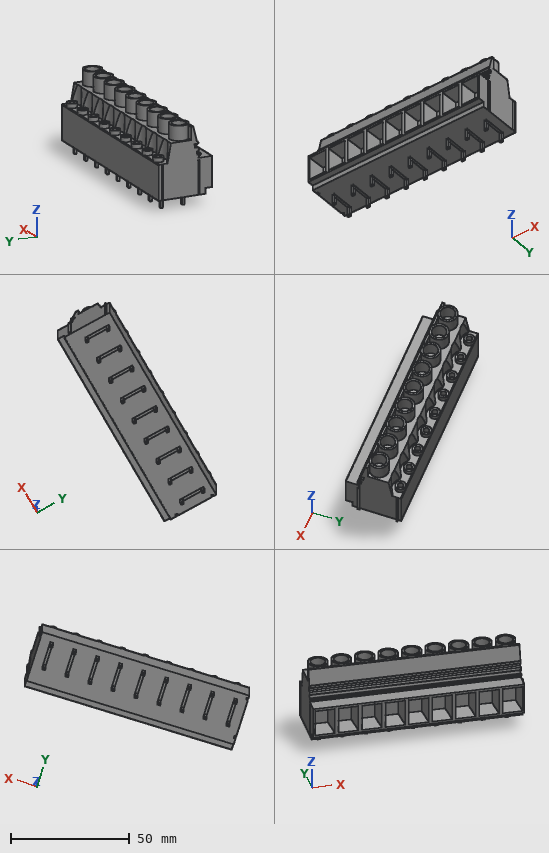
import cadquery as cq
POLES = 9
PITCH = 10.16
LENGTH = POLES * PITCH
DEPTH = 25.1
POLE_CENTRES = [(pole + 0.5) * PITCH for pole in range(POLES)]

STEP_DEPTH = 3.05
STEP_HEIGHT = 2.55
LEDGE_TOP = 16.4
LEDGE_BACK = 6.3
BACK_SHELF = 16.1
BACK_EDGE_CHAMFER = 0.35
SLOPE_FOOT_Y = 20.95
SLOPE_HEAD_Y = 19.35
SCREW_DECK = 24.8
WALL_TOP = 30.6
WALL_BACK_Y = 9.9
WALL_CREST_Y = 8.8

TUBE_TOP = 31.5
TUBE_Y = 13.2
TUBE_RADIUS = 4.2
TUBE_BORE_RADIUS = 3.2

SOCKET_TOP = 18.1
SOCKET_RADIUS = 2.25
SOCKET_Y = DEPTH - SOCKET_RADIUS
SOCKET_BORE_RADIUS = 1.25
SOCKET_BORE_DEPTH = 3.0
SCALLOP_RADIUS = 6.0

FUNNEL_WIDTH = 8.6
FUNNEL_HEIGHT = 11.7
FUNNEL_CENTRE_Z = 9.42
FUNNEL_INSET = 1.3
FUNNEL_DEPTH = 7.5

RIDGE_HEIGHT = 0.8
RIDGE_TOP = 15.3
DOVETAIL_Y = 6.2
DOVETAIL_ROOT_WIDTH = 0.55
DOVETAIL_TIP_WIDTH = 1.1
BACK_RIDGE_FRONT_Y = 22.9
BACK_RIDGE_BACK_Y = 23.7
BACK_RIDGE_SLANT = 0.3

PIN_SIZE = 1.2
PIN_LENGTH = 5.0
PIN_FRONT_Y = 11.3
PIN_BACK_Y = PIN_FRONT_Y + PITCH
PIN_TIP_HEIGHT = 0.5
PIN_TIP_INSET = 0.3
BAR_THICKNESS = 1.2


def extrude_along_x(points):
    """Extrude a (Y, Z) outline over the full length of the row."""
    return cq.Workplane("YZ").polyline(points).close().extrude(LENGTH)


def housing_profile():
    base_and_back = [
        (STEP_DEPTH, 0),
        (DEPTH, 0),
        (DEPTH, BACK_SHELF - BACK_EDGE_CHAMFER),
        (DEPTH - BACK_EDGE_CHAMFER, BACK_SHELF),
        (SLOPE_FOOT_Y, BACK_SHELF),
        (SLOPE_HEAD_Y, SCREW_DECK),
        (WALL_BACK_Y, SCREW_DECK),
        (WALL_BACK_Y, WALL_TOP),
        (WALL_CREST_Y, WALL_TOP),
    ]
    upper_lip = [
        (7.1, 23.85),
        (6.75, 23.85),
        (6.4, 23.1),
        (7.1, 22.5),
        (7.7, 22.8),
        (8.25, 22.5),
    ]
    middle_rib = [
        (7.9, 21.1),
        (6.3, 21.1),
        (6.05, 20.05),
        (6.3, 19.7),
        (7.15, 19.2),
    ]
    lower_hook = [
        (6.9, 18.2),
        (6.9, 17.8),
        (6.35, 17.8),
        (5.95, 18.3),
        (5.6, 18.4),
        (5.3, 18.35),
        (5.2, 18.05),
        (5.3, 17.8),
        (6.0, 17.2),
        (6.2, 16.8),
        (LEDGE_BACK, LEDGE_TOP),
    ]
    wire_block = [
        (0, LEDGE_TOP),
        (0, STEP_HEIGHT),
        (STEP_DEPTH, STEP_HEIGHT),
    ]
    return base_and_back + upper_lip + middle_rib + lower_hook + wire_block


def upright_cylinders(x_positions, y, radius, bottom, top):
    """Vertical cylinders in a row along X."""
    return (
        cq.Workplane("XY", origin=(0, 0, bottom))
        .pushPoints([(x, y) for x in x_positions])
        .circle(radius)
        .extrude(top - bottom)
    )


def wire_funnel(x):
    """Rectangular wire entry that narrows from the front face to its floor."""
    return (
        cq.Workplane("XZ", origin=(x, 0, FUNNEL_CENTRE_Z))
        .rect(FUNNEL_WIDTH, FUNNEL_HEIGHT)
        .workplane(offset=-FUNNEL_DEPTH)
        .rect(FUNNEL_WIDTH - 2 * FUNNEL_INSET, FUNNEL_HEIGHT - 2 * FUNNEL_INSET)
        .loft(ruled=True)
    )


def side_ridges(x):
    """Dovetail and slanted ridge rising in +X from the plane at x."""
    dovetail = [
        (x, DOVETAIL_Y - DOVETAIL_ROOT_WIDTH / 2),
        (x + RIDGE_HEIGHT, DOVETAIL_Y - DOVETAIL_TIP_WIDTH / 2),
        (x + RIDGE_HEIGHT, DOVETAIL_Y + DOVETAIL_TIP_WIDTH / 2),
        (x, DOVETAIL_Y + DOVETAIL_ROOT_WIDTH / 2),
    ]
    back_ridge = [
        (x, BACK_RIDGE_FRONT_Y),
        (x + RIDGE_HEIGHT, BACK_RIDGE_FRONT_Y + BACK_RIDGE_SLANT),
        (x + RIDGE_HEIGHT, BACK_RIDGE_BACK_Y),
        (x, BACK_RIDGE_BACK_Y),
    ]
    ridges = cq.Workplane("XY").polyline(dovetail).close().extrude(RIDGE_TOP)
    return ridges.union(cq.Workplane("XY").polyline(back_ridge).close().extrude(RIDGE_TOP))


def solder_pin(x, y):
    """Square pin below the housing, with a tip tapered in Y."""
    half = PIN_SIZE / 2
    outline = [
        (y - half, 0),
        (y - half, PIN_TIP_HEIGHT - PIN_LENGTH),
        (y - half + PIN_TIP_INSET, -PIN_LENGTH),
        (y + half - PIN_TIP_INSET, -PIN_LENGTH),
        (y + half, PIN_TIP_HEIGHT - PIN_LENGTH),
        (y + half, 0),
    ]
    return cq.Workplane("YZ", origin=(x - half, 0, 0)).polyline(outline).close().extrude(PIN_SIZE)


def contact_bar(x):
    bar_length = PIN_BACK_Y - PIN_FRONT_Y + PIN_SIZE
    bar_centre_y = (PIN_FRONT_Y + PIN_BACK_Y) / 2
    return cq.Workplane("XY", origin=(x, bar_centre_y, 0)).box(
        PIN_SIZE, bar_length, BAR_THICKNESS, centered=(True, True, False)
    )


def make_contact(x):
    return contact_bar(x).union(solder_pin(x, PIN_FRONT_Y)).union(solder_pin(x, PIN_BACK_Y))


def make_housing():
    body = extrude_along_x(housing_profile())

    for x in POLE_CENTRES:
        body = body.cut(upright_cylinders([x], DEPTH, SCALLOP_RADIUS, BACK_SHELF, SCREW_DECK))
    socket_foot = BACK_SHELF - BACK_EDGE_CHAMFER
    socket_floor = SOCKET_TOP - SOCKET_BORE_DEPTH
    body = body.union(upright_cylinders(POLE_CENTRES, SOCKET_Y, SOCKET_RADIUS, socket_foot, SOCKET_TOP))
    body = body.cut(upright_cylinders(POLE_CENTRES, SOCKET_Y, SOCKET_BORE_RADIUS, socket_floor, SOCKET_TOP))

    body = body.union(upright_cylinders(POLE_CENTRES, TUBE_Y, TUBE_RADIUS, SCREW_DECK, TUBE_TOP))
    body = body.cut(upright_cylinders(POLE_CENTRES, TUBE_Y, TUBE_BORE_RADIUS, SCREW_DECK, TUBE_TOP))

    body = body.cut(side_ridges(0)).union(side_ridges(LENGTH))

    for x in POLE_CENTRES:
        body = body.cut(wire_funnel(x)).cut(contact_bar(x))
    return body


housing = make_housing()
contacts = [make_contact(x) for x in POLE_CENTRES]

result = cq.Compound.makeCompound([housing.val(), *[contact.val() for contact in contacts]])